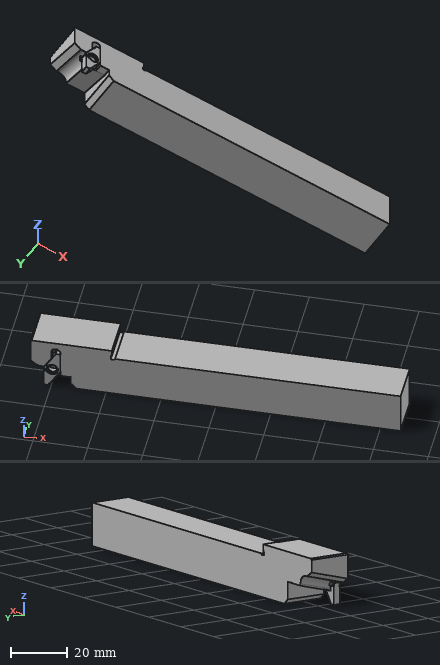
import cadquery as cq
import math


LENGTH = 135.0
WIDTH = 16.0
SHANK_HEIGHT = 16.0
HEAD_HEIGHT = 19.5
HEAD_END_X = 29.7
HEAD_CHAMFER = 0.5
FRONT_Y = -WIDTH / 2

UNDERCUT_RADIUS = 0.85
UNDERCUT_X = HEAD_END_X + 0.4
UNDERCUT_Z = SHANK_HEIGHT + 0.3

NOTCH_WALL_X = 14.7
NOTCH_TOP_Z = 4.9
HEEL_CHAMFER = 2.0

INSERT_THICKNESS = 2.8
INSERT_LEFT_X = 4.9
INSERT_RIGHT_X = 11.0
INSERT_HEIGHT = 14.7
TIP_WIDTH = 1.7
FLANK_HEIGHT = 8.0
HOLE_DIAMETER = 3.1
COUNTERBORE_DIAMETER = 4.2
COUNTERBORE_DEPTH = 0.8
INSERT_CENTER_X = (INSERT_LEFT_X + INSERT_RIGHT_X) / 2
INSERT_CENTER_Z = INSERT_HEIGHT / 2

GROOVE_DEPTH = 0.2
GROOVE_BOTTOM_Z = 6.5
GROOVE_FLANK_Z = 6.9
GROOVE_INNER_Z = 7.4

SEAT_Y = FRONT_Y + INSERT_THICKNESS
SLOT_WIDTH = 3.4
SLOT_TOP_Z = 16.8

CLEARANCE_ANGLE = 15.0
NOSE_Z = 10.2
NOSE_RUN = 2.7
HEAD_BOTTOM_Z = 8.3
RELIEF_RADIUS = 3.4
RELIEF_WALL_X = 6.8

LUG_LEFT_X = 4.5
LUG_BOTTOM_Z = 7.1
LUG_TOP_Z = 9.3
LUG_THICKNESS = 0.8

CUT_MARGIN = 6.0


def profile_at(y):
    """Sketch plane facing -Y, with local axes X and Z; positive extrusion goes towards -Y."""
    return cq.Workplane("XZ", origin=(0, y, 0))


def make_blank():
    """Shank and head as one prism across the whole width."""
    blank = (
        profile_at(FRONT_Y)
        .moveTo(0, NOTCH_TOP_Z)
        .lineTo(0, HEAD_HEIGHT - HEAD_CHAMFER)
        .lineTo(HEAD_CHAMFER, HEAD_HEIGHT)
        .lineTo(HEAD_END_X, HEAD_HEIGHT)
        .lineTo(HEAD_END_X, SHANK_HEIGHT)
        .lineTo(LENGTH, SHANK_HEIGHT)
        .lineTo(LENGTH, 0)
        .lineTo(NOTCH_WALL_X + HEEL_CHAMFER, 0)
        .lineTo(NOTCH_WALL_X, HEEL_CHAMFER)
        .lineTo(NOTCH_WALL_X, NOTCH_TOP_Z)
        .close()
        .extrude(-WIDTH)
    )
    undercut = (
        profile_at(FRONT_Y)
        .center(UNDERCUT_X, UNDERCUT_Z)
        .circle(UNDERCUT_RADIUS)
        .extrude(-WIDTH)
    )
    return blank.cut(undercut)


def make_clearance():
    """Cutter for the underside of the head, swept along a line that rises towards +Y."""
    rise = math.tan(math.radians(CLEARANCE_ANGLE))
    wall_bottom_z = NOTCH_TOP_Z - rise * INSERT_THICKNESS
    arc_center_x = RELIEF_WALL_X - RELIEF_RADIUS
    arc_center_z = HEAD_BOTTOM_Z - RELIEF_RADIUS
    arc_offset = RELIEF_RADIUS * math.sqrt(0.5)
    outline = (
        profile_at(FRONT_Y)
        .moveTo(0, -CUT_MARGIN)
        .lineTo(0, NOSE_Z)
        .lineTo(NOSE_RUN, HEAD_BOTTOM_Z)
        .lineTo(arc_center_x, HEAD_BOTTOM_Z)
        .threePointArc(
            (arc_center_x + arc_offset, arc_center_z + arc_offset),
            (RELIEF_WALL_X, arc_center_z),
        )
        .lineTo(RELIEF_WALL_X, wall_bottom_z)
        .lineTo(NOTCH_WALL_X, wall_bottom_z)
        .lineTo(NOTCH_WALL_X, -CUT_MARGIN)
        .close()
    )
    sweep = cq.Vector(0, WIDTH, WIDTH * rise)
    return cq.Workplane(cq.Solid.extrudeLinear(outline.val(), [], sweep))


def insert_plate():
    """Insert outline, symmetric under a half turn, as a plain plate on the seat floor."""
    half_outline = [
        (INSERT_LEFT_X, 0),
        (INSERT_LEFT_X, FLANK_HEIGHT),
        (INSERT_RIGHT_X - TIP_WIDTH, INSERT_HEIGHT),
    ]
    turned = [(2 * INSERT_CENTER_X - x, 2 * INSERT_CENTER_Z - z) for x, z in half_outline]
    return profile_at(SEAT_Y).polyline(half_outline + turned).close().extrude(INSERT_THICKNESS)


def make_pocket():
    """Insert seat: the insert outline, the round-ended slot above it and the gap below."""
    slot_radius = SLOT_WIDTH / 2
    slot_left_x = INSERT_RIGHT_X - SLOT_WIDTH
    slot_shoulder_z = SLOT_TOP_Z - slot_radius
    slot = (
        profile_at(SEAT_Y)
        .moveTo(slot_left_x, 0)
        .lineTo(slot_left_x, slot_shoulder_z)
        .threePointArc(
            (slot_left_x + slot_radius, SLOT_TOP_Z),
            (INSERT_RIGHT_X, slot_shoulder_z),
        )
        .lineTo(INSERT_RIGHT_X, 0)
        .close()
        .extrude(INSERT_THICKNESS)
    )
    below_flank = (
        profile_at(SEAT_Y)
        .moveTo(INSERT_LEFT_X, 0)
        .lineTo(INSERT_LEFT_X, FLANK_HEIGHT)
        .lineTo(slot_left_x, FLANK_HEIGHT)
        .lineTo(slot_left_x, 0)
        .close()
        .extrude(INSERT_THICKNESS)
    )
    return slot.union(below_flank).union(insert_plate())


def make_lug():
    """Lug standing behind the insert flank; its top and right side are buried in the head."""
    return (
        profile_at(SEAT_Y)
        .moveTo(LUG_LEFT_X, LUG_BOTTOM_Z)
        .lineTo(LUG_LEFT_X, LUG_TOP_Z)
        .lineTo(RELIEF_WALL_X, LUG_TOP_Z)
        .lineTo(RELIEF_WALL_X, LUG_BOTTOM_Z)
        .close()
        .extrude(-LUG_THICKNESS)
    )


def make_holder():
    body = make_blank().cut(make_clearance()).cut(make_pocket())
    return body.union(make_lug())


def make_insert():
    """Insert with a counterbored screw hole and a shallow groove in its face."""
    plate = insert_plate()
    screw_hole = (
        profile_at(SEAT_Y)
        .center(INSERT_CENTER_X, INSERT_CENTER_Z)
        .circle(HOLE_DIAMETER / 2)
        .extrude(INSERT_THICKNESS)
    )
    counterbore = (
        profile_at(FRONT_Y)
        .center(INSERT_CENTER_X, INSERT_CENTER_Z)
        .circle(COUNTERBORE_DIAMETER / 2)
        .extrude(-COUNTERBORE_DEPTH)
    )
    groove_inner_x = INSERT_CENTER_X - HOLE_DIAMETER / 2
    groove = (
        profile_at(FRONT_Y)
        .moveTo(INSERT_LEFT_X, GROOVE_BOTTOM_Z)
        .lineTo(INSERT_LEFT_X, GROOVE_FLANK_Z)
        .lineTo(groove_inner_x, GROOVE_INNER_Z)
        .lineTo(groove_inner_x, GROOVE_BOTTOM_Z)
        .close()
        .extrude(-GROOVE_DEPTH)
    )
    return plate.cut(screw_hole).cut(counterbore).cut(groove)


holder = make_holder()
insert = make_insert()

result = cq.Compound.makeCompound([holder.val(), insert.val()])